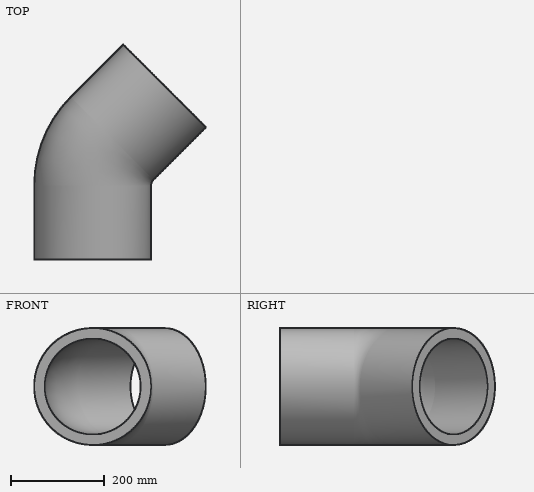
import cadquery as cq
import math

outer_diameter = 250.0
inner_diameter = 204.5
leg_length = 158.5
bend_radius = 142.0
bend_angle = 45.0

turn = math.radians(bend_angle)

bend_start = (0, leg_length)
bend_middle = (
    bend_radius * (1 - math.cos(turn / 2)),
    leg_length + bend_radius * math.sin(turn / 2),
)
bend_end = (
    bend_radius * (1 - math.cos(turn)),
    leg_length + bend_radius * math.sin(turn),
)
pipe_end = (
    bend_end[0] + leg_length * math.sin(turn),
    bend_end[1] + leg_length * math.cos(turn),
)

centreline = (
    cq.Workplane("XY")
    .lineTo(*bend_start)
    .threePointArc(bend_middle, bend_end)
    .lineTo(*pipe_end)
)

result = (
    cq.Workplane("XZ")
    .circle(outer_diameter / 2)
    .circle(inner_diameter / 2)
    .sweep(centreline)
)